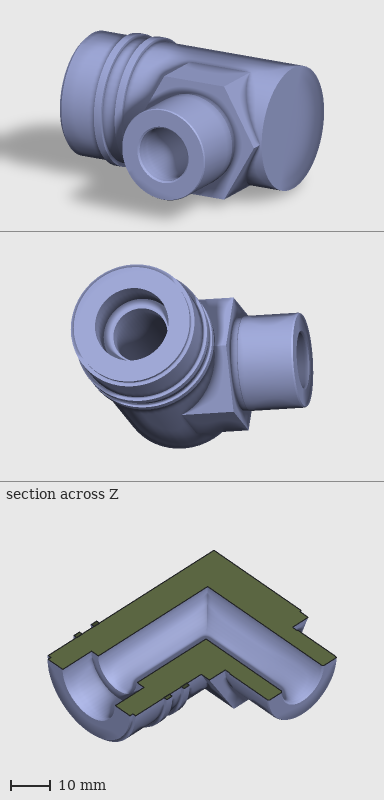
import cadquery as cq
import math

LENGTH = 59.0
BARREL_DIAMETER = 32.0
LIP_DIAMETER = 30.0
LIP_LENGTH = 1.0

RING_DIAMETER = 34.0
RING_WIDTH = 2.0
RING_STARTS = (11.0, 17.0)

BRANCH_X = 41.2
HEX_SIDES = 6
HEX_ACROSS_FLATS = 30.0
HEX_ACROSS_CORNERS = HEX_ACROSS_FLATS / math.cos(math.pi / HEX_SIDES)
HEX_FACE_REACH = 19.0
NECK_DIAMETER = 23.6
NECK_LENGTH = 1.55
SPIGOT_DIAMETER = 24.0
SPIGOT_REACH = 35.0
SPIGOT_TIP_CHAMFER_LENGTH = 0.4
SPIGOT_CHAMFER = (SPIGOT_DIAMETER - NECK_DIAMETER) / 2

SOCKET_DIAMETER = 19.0
SOCKET_DEPTH = 10.05
BORE_DIAMETER = 14.0
BORE_CHAMFER = 0.4


def barrel_cylinder(diameter, start, length):
    """Cylinder on the barrel axis, from X = start towards +X."""
    return cq.Workplane("YZ").workplane(offset=start).circle(diameter / 2).extrude(length)


def branch_plane(reach):
    """Workplane on the branch axis at Y = -reach, facing -Y."""
    return cq.Workplane("XZ", origin=(BRANCH_X, -reach, 0))


def make_barrel():
    """Main cylinder with a slightly narrower lip at its socket end."""
    lip = barrel_cylinder(LIP_DIAMETER, 0, LIP_LENGTH)
    main = barrel_cylinder(BARREL_DIAMETER, LIP_LENGTH, LENGTH - LIP_LENGTH)
    return main.union(lip)


def make_hex_boss():
    """Hexagon with two flats facing up and down, corners on the X direction."""
    hexagon = branch_plane(0).polygon(HEX_SIDES, HEX_ACROSS_CORNERS)
    return hexagon.extrude(HEX_FACE_REACH)


def make_spigot():
    """Round neck on the hexagon face, then a wider sleeve chamfered down to the neck diameter."""
    shoulder_reach = HEX_FACE_REACH + NECK_LENGTH
    neck = branch_plane(HEX_FACE_REACH).circle(NECK_DIAMETER / 2).extrude(NECK_LENGTH)
    sleeve = branch_plane(shoulder_reach).circle(SPIGOT_DIAMETER / 2).extrude(SPIGOT_REACH - shoulder_reach)
    sleeve = sleeve.faces(">Y").edges().chamfer(SPIGOT_CHAMFER)
    sleeve = sleeve.faces("<Y").edges().chamfer(SPIGOT_TIP_CHAMFER_LENGTH, SPIGOT_CHAMFER)
    return neck.union(sleeve)


def make_passage():
    """Space removed from the housing: socket, mitred elbow bore and mouth chamfer."""
    socket = barrel_cylinder(SOCKET_DIAMETER, 0, SOCKET_DEPTH)
    elbow_path = cq.Workplane("XY").polyline([(0, 0), (BRANCH_X, 0), (BRANCH_X, -SPIGOT_REACH)])
    bore = cq.Workplane("YZ").circle(BORE_DIAMETER / 2).sweep(elbow_path, transition="right")
    mouth = (
        branch_plane(SPIGOT_REACH - BORE_CHAMFER)
        .circle(BORE_DIAMETER / 2)
        .workplane(offset=BORE_CHAMFER)
        .circle(BORE_DIAMETER / 2 + BORE_CHAMFER)
        .loft()
    )
    return socket.union(bore).union(mouth)


def make_housing():
    """Barrel, hexagonal boss and spigot as one solid, with the passage removed."""
    return make_barrel().union(make_hex_boss()).union(make_spigot()).cut(make_passage())


def make_ring(start):
    """Flat ring that fits closely around the barrel."""
    ring = barrel_cylinder(RING_DIAMETER, start, RING_WIDTH)
    return ring.cut(barrel_cylinder(BARREL_DIAMETER, start, RING_WIDTH))


housing = make_housing()
rings = [make_ring(start) for start in RING_STARTS]

result = cq.Compound.makeCompound([housing.val(), *[ring.val() for ring in rings]])